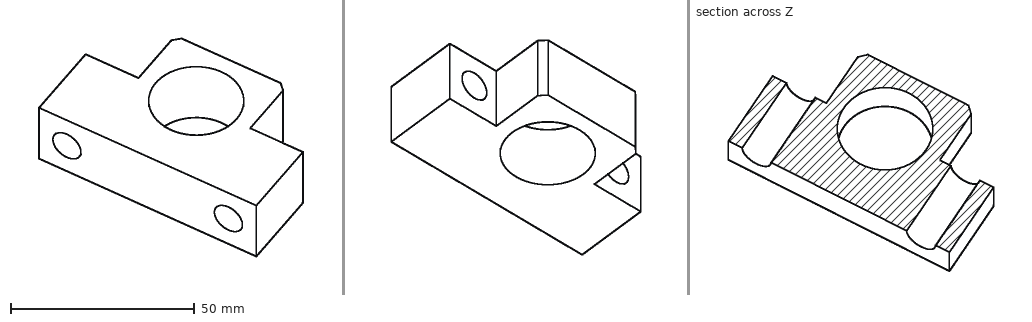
import cadquery as cq

base_length = 70.0
base_depth = 24.0
thickness = 20.0

total_depth = 43.0
head_width = 36.0
head_chamfer = 2.0

bore_diameter = 26.0
bore_offset = 25.0

mount_diameter = 9.0
mount_spacing = 52.0


def make_body():
    """T-shaped block with the mounting face on Y = 0 and the bottom on Z = 0."""
    base = cq.Workplane("XY").box(base_length, base_depth, thickness, centered=(True, False, False))
    head = (
        cq.Workplane("XY")
        .box(head_width, total_depth, thickness, centered=(True, False, False))
        .edges("|Z and >Y")
        .chamfer(head_chamfer)
    )
    return base.union(head)


def make_bore():
    return cq.Workplane("XY").center(0, bore_offset).circle(bore_diameter / 2).extrude(thickness)


def make_mount_holes():
    return (
        cq.Workplane("XZ")
        .pushPoints([(side * mount_spacing / 2, thickness / 2) for side in (-1, 1)])
        .circle(mount_diameter / 2)
        .extrude(-base_depth)
    )


result = make_body().cut(make_bore()).cut(make_mount_holes())